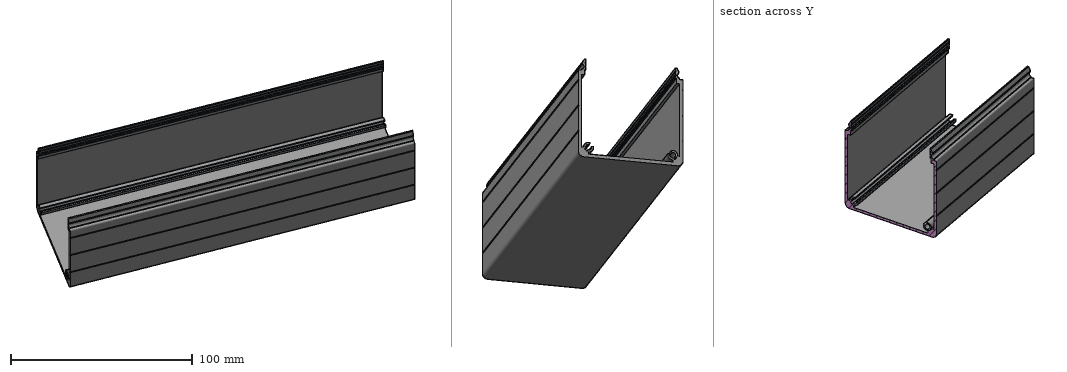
import cadquery as cq
import math


length = 200.0
width = 60.0
height = 57.5
half_width = width / 2

wall = 2.0
floor = 2.0
corner_radius = 3.2
shoulder_height = 51.0
shoulder_radius = 0.8

rail_bottom = 48.5
rail_depth = 3.8

step_depth = 2.0
step_height = 51.5
neck_depth = 3.2
neck_height = 53.2
barb_depth = 2.5
barb_bottom = 54.5
barb_top = 55.5
tip_depth = 3.5
lip_inner_depth = 4.5
lip_inner_bottom = 51.5
lip_notch_height = 53.2
tip_notch_height = 55.5
lip_notch_depth = 0.5
lip_notch_width = 1.0
tip_notch_depth = 0.5
tip_notch_width = 0.5

groove_pitch = 15.0
groove_count = 3
groove_width = 0.5
groove_depth = 0.3

boss_center = 6.0
boss_outer_radius = 2.8
boss_inner_radius = 1.5
boss_opening_angle = 60.0
boss_block = 5.8
relief_width = 1.5
relief_length = 2.5


def extrude(sketch):
    """Sweep a closed XZ sketch over the whole length, centred on Y = 0."""
    return sketch.extrude(length / 2, both=True)


def at(depth, z):
    """Point in the left half, given its depth inward from the outer wall face."""
    return (depth - half_width, z)


def notch_points(depth, z, notch_depth, notch_width):
    """Corners of a V notch cut outward into an inward-facing edge, top to bottom."""
    half = notch_width / 2
    return [at(depth, z + half), at(depth - notch_depth, z), at(depth, z - half)]


def left_wall():
    """Half of the floor, the side wall and the snap lip."""
    corner_mid = corner_radius * (1 - math.sqrt(0.5))
    shoulder_mid = shoulder_radius * (1 - math.sqrt(0.5))
    sketch = (
        cq.Workplane("XZ")
        .moveTo(0, 0)
        .lineTo(*at(corner_radius, 0))
        .threePointArc(at(corner_mid, corner_mid), at(0, corner_radius))
        .lineTo(*at(0, shoulder_height - shoulder_radius))
        .threePointArc(
            at(shoulder_mid, shoulder_height - shoulder_mid),
            at(shoulder_radius, shoulder_height),
        )
        .lineTo(*at(step_depth, shoulder_height))
        .lineTo(*at(step_depth, step_height))
        .threePointArc(at(neck_depth, neck_height), at(barb_depth, barb_bottom))
        .lineTo(*at(barb_depth, barb_top))
        .lineTo(*at(tip_depth, height))
        .lineTo(*at(lip_inner_depth, height))
    )
    inner_points = [
        *notch_points(lip_inner_depth, tip_notch_height, tip_notch_depth, tip_notch_width),
        *notch_points(lip_inner_depth, lip_notch_height, lip_notch_depth, lip_notch_width),
        at(lip_inner_depth, lip_inner_bottom),
        at(rail_depth, lip_inner_bottom),
        at(rail_depth, rail_bottom),
        at(wall, rail_bottom),
        at(wall, floor),
        (0, floor),
    ]
    for point in inner_points:
        sketch = sketch.lineTo(*point)
    return extrude(sketch.close())


def wall_grooves():
    """V grooves at equal heights along the outer wall face."""
    grooves = cq.Workplane("XZ")
    for index in range(1, groove_count + 1):
        z = index * groove_pitch
        corners = [at(0, z - groove_width / 2), at(groove_depth, z), at(0, z + groove_width / 2)]
        grooves = grooves.polyline(corners).close()
    return extrude(grooves)


def boss_sketch():
    """Sketch plane on the boss axis, with its local X along the opening direction."""
    x, z = at(boss_center, boss_center)
    return cq.Workplane("XZ", origin=(x, 0, z)).transformed(rotate=(0, 0, 45))


def boss_body():
    """Round boss standing on a square block that fills the channel corner."""
    block_start = wall / 2
    block_size = boss_block - block_start
    corner = at(block_start, block_start)
    block = extrude(
        cq.Workplane("XZ").center(*corner).rect(block_size, block_size, centered=False)
    )
    return block.union(extrude(boss_sketch().circle(boss_outer_radius)))


def boss_cavity():
    """Screw bore, the wedge that opens it and the relief slot behind it."""
    half_angle = math.radians(boss_opening_angle / 2)
    wedge_length = 2 * boss_outer_radius
    wedge_side = wedge_length * math.tan(half_angle)
    bore = extrude(boss_sketch().circle(boss_inner_radius))
    wedge_corners = [(0, 0), (wedge_length, -wedge_side), (wedge_length, wedge_side)]
    wedge = extrude(boss_sketch().polyline(wedge_corners).close())
    relief = extrude(boss_sketch().center(-relief_length / 2, 0).rect(relief_length, relief_width))
    return bore.union(wedge).union(relief)


left_half = left_wall().cut(wall_grooves()).union(boss_body()).cut(boss_cavity())
result = left_half.union(left_half.mirror("YZ"))